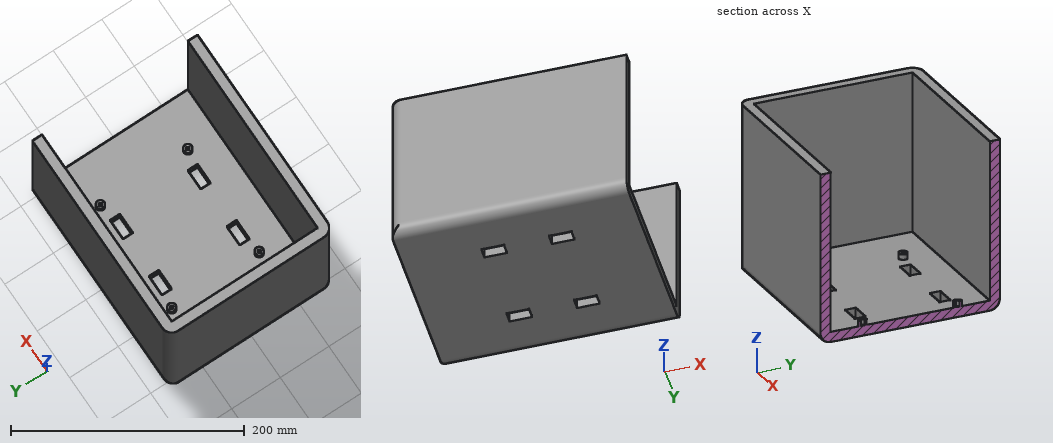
import cadquery as cq

LENGTH = 210.0
WIDTH = 170.0
HEIGHT = 160.0
WALL = 10.0
EDGE_RADIUS = WALL

SLOT_LENGTH = 20.0
SLOT_WIDTH = 10.0
SLOT_CENTER_X = 110.0
SLOT_SPACING_X = 60.0
SLOT_SPACING_Y = 80.0

STANDOFF_DIAMETER = 8.0
STANDOFF_HEIGHT = 5.0
SCREW_HOLE_DIAMETER = 3.0
STANDOFF_CENTER_X = 110.0
STANDOFF_SPACING_X = 110.0
STANDOFF_SPACING_Y = 90.0


def make_outer_block():
    """Block with two rounded back corners and two rounded bottom edges, meeting in mitres."""
    plan = (
        cq.Workplane("XY")
        .box(LENGTH, WIDTH, HEIGHT, centered=(False, True, False))
        .edges("|Z and <X")
        .fillet(EDGE_RADIUS)
    )
    end_profile = (
        cq.Workplane("XY")
        .box(LENGTH, WIDTH, HEIGHT, centered=(False, True, False))
        .edges("|X and <Z")
        .fillet(EDGE_RADIUS)
    )
    return plan.intersect(end_profile)


def make_cavity():
    """Sharp-cornered interior, open at the top and at the +X end."""
    return (
        cq.Workplane("XY")
        .box(LENGTH - WALL, WIDTH - 2 * WALL, HEIGHT - WALL, centered=(False, True, False))
        .translate((WALL, 0, WALL))
    )


def make_slots():
    """Four slot cutters reaching through the floor."""
    return (
        cq.Workplane("XY")
        .center(SLOT_CENTER_X, 0)
        .rarray(SLOT_SPACING_X, SLOT_SPACING_Y, 2, 2)
        .rect(SLOT_LENGTH, SLOT_WIDTH)
        .extrude(WALL)
    )


def make_standoffs():
    """Four tubular standoffs rising from the floor; their holes stop at the floor."""
    return (
        cq.Workplane("XY", origin=(STANDOFF_CENTER_X, 0, WALL))
        .rarray(STANDOFF_SPACING_X, STANDOFF_SPACING_Y, 2, 2)
        .circle(STANDOFF_DIAMETER / 2)
        .circle(SCREW_HOLE_DIAMETER / 2)
        .extrude(STANDOFF_HEIGHT)
    )


result = make_outer_block().cut(make_cavity()).cut(make_slots()).union(make_standoffs())